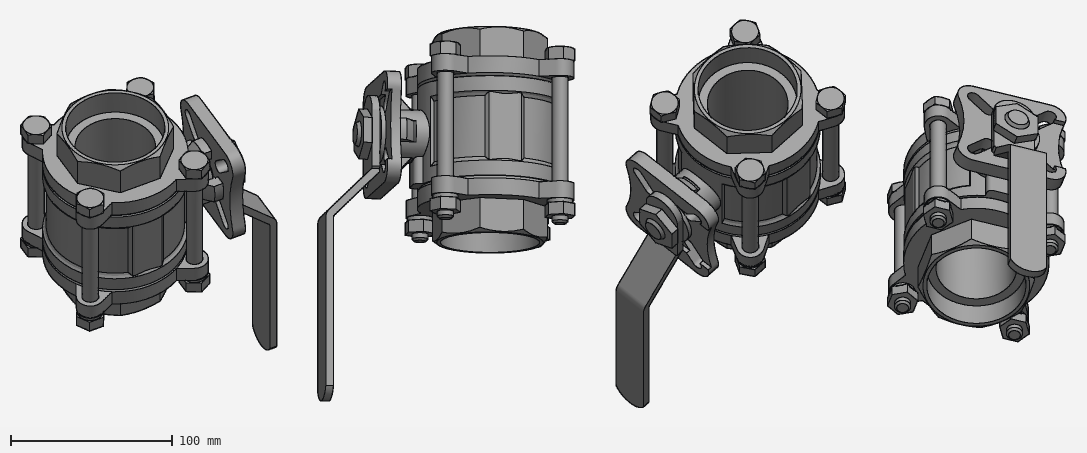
import cadquery as cq
import math


bore_diameter = 50.0
socket_diameter = 61.5
socket_depth = 16.7
valve_half_length = 65.0
flange_radius = 45.0
cap_flange_top = 44.0
cap_flange_bottom = 33.4
joint_height = 31.5
joint_radius = 43.7
rim_bottom = 22.0
rim_chamfer = 1.2
barrel_radius = 43.0
barrel_half_length = 19.3
octagon_across_flats = 67.2
octagon_top_radius = 33.1
octagon_chamfer = 2.3

pad_distance = 43.7
pad_half_width = 8.7
pad_shoulder_half_width = 10.3
pad_shoulder_distance = 43.2
pad_root_half_width = 13.5
pad_root_distance = 40.2

bolt_offset = 36.5
lug_radius = 8.7
lug_taper = 18
bolt_diameter = 10.0
bolt_hole_diameter = 10.5
bolt_hex_flats = 16.7
bolt_head_height = 8.0
bolt_head_chamfer = 0.7
washer_diameter = 16.0
washer_thickness = 2.5
bolt_nut_height = 7.8
bolt_tip_length = 4.5
bolt_tip_chamfer = 1.5

boss_diameter = 33.0
boss_top = 60.5
boss_root = 33.0
saddle_width = 34.3
arm_width = 13.5
arm_radius = 22.8
arm_knee = 57.8
arm_slant = 5.9
arm_foot_length = 1.5
arm_inner_chamfer = 1.6
plate_bottom = 64.0
plate_top = 72.8
plate_size = 70.5
plate_corner_radius = 10.0
plate_waist_half_width = 31.2
plate_waist_half_height = 22.0
plate_slot_width = 8.0
plate_slot_outer = 25.0
plate_slot_inner = 15.5
hub_diameter = 36.0
pocket_depth = 2.8
stop_block_half_width = 8.2
stop_block_top = 49.8
stop_block_end = -31.5
stop_block_fillet = 3.0

stem_diameter = 17.5
stem_bottom = 44.6
stem_thread_diameter = 16.0
stem_tip_chamfer = 1.5
stem_tip_length = 2.3
stem_nut_flats = 27.5
stem_nut_height = 5.6

handle_thickness = 5.0
handle_width = 23.5
handle_head_width = 26.3
handle_head_top = 24.5
handle_head_shoulder = 13.0
handle_head_end = -22.5
handle_bend = -24.0
handle_grip_y = 107.0
handle_bend_inner_radius = 2.0
handle_end = -169.9
handle_end_radius = 13.2


def disc(radius, z_bottom, height):
    """Cylinder along Z."""
    return cq.Workplane("XY").workplane(offset=z_bottom).circle(radius).extrude(height)


def stem_plane(y):
    """Sketch plane across the stem axis at distance y: local axes are X and Z, and
    a negative extrusion moves away from the flow axis."""
    return cq.Workplane("XZ", origin=(0, y, 0))


def stem_disc(diameter, y_from, y_to):
    """Cylinder along the stem axis."""
    return stem_plane(y_from).circle(diameter / 2).extrude(y_from - y_to)


def hexagon(across_flats, height, z_bottom, turn):
    corner_diameter = across_flats / math.cos(math.pi / 6)
    prism = cq.Workplane("XY").polygon(6, corner_diameter).extrude(height)
    return prism.rotate((0, 0, 0), (0, 0, 1), turn).translate((0, 0, z_bottom))


def barrel():
    """Centre piece with a chamfered rim at each end, turned about Z."""
    rim_foot = rim_bottom - rim_chamfer
    rim_foot_radius = flange_radius - rim_chamfer
    upper = [
        (barrel_radius, barrel_half_length),
        (rim_foot_radius, rim_foot),
        (flange_radius, rim_bottom),
        (flange_radius, joint_height),
    ]
    lower = [(radius, -z) for radius, z in reversed(upper)]
    outline = [(0, -joint_height)] + lower + upper + [(0, joint_height)]
    body = cq.Workplane("XZ").polyline(outline).close().revolve(360, (0, 0), (0, 1))
    for side in (-1, 1):
        section = [
            (side * pad_distance, -pad_half_width),
            (side * pad_distance, pad_half_width),
            (side * pad_shoulder_distance, pad_shoulder_half_width),
            (side * pad_root_distance, pad_root_half_width),
            (side * pad_root_distance, -pad_root_half_width),
            (side * pad_shoulder_distance, -pad_shoulder_half_width),
        ]
        pad = cq.Workplane("XY").polyline(section).close().extrude(rim_bottom, both=True)
        body = body.union(pad)
    return body


def lug():
    """Rounded lug on the +X axis whose straight sides widen toward the flange centre."""
    taper = math.radians(lug_taper)
    centre = bolt_offset * math.sqrt(2)
    tangent_x = centre + lug_radius * math.sin(taper)
    tangent_y = lug_radius * math.cos(taper)
    root_x = flange_radius / 2
    root_y = tangent_y + (tangent_x - root_x) * math.tan(taper)
    return (
        cq.Workplane("XY")
        .workplane(offset=cap_flange_bottom)
        .moveTo(root_x, -root_y)
        .lineTo(tangent_x, -tangent_y)
        .threePointArc((centre + lug_radius, 0), (tangent_x, tangent_y))
        .lineTo(root_x, root_y)
        .close()
        .extrude(cap_flange_top - cap_flange_bottom)
    )


def octagon_end():
    """Wrench octagon with its outer corners turned down to a cone."""
    corner_radius = octagon_across_flats / 2 / math.cos(math.pi / 8)
    prism = (
        cq.Workplane("XY")
        .workplane(offset=cap_flange_bottom)
        .polygon(8, 2 * corner_radius)
        .extrude(valve_half_length - cap_flange_bottom)
        .rotate((0, 0, 0), (0, 0, 1), 22.5)
    )
    envelope = disc(corner_radius, cap_flange_bottom, valve_half_length - cap_flange_bottom)
    envelope = envelope.faces(">Z").chamfer(octagon_chamfer, corner_radius - octagon_top_radius)
    return prism.intersect(envelope)


def upper_cap():
    cap = disc(flange_radius, cap_flange_bottom, cap_flange_top - cap_flange_bottom)
    for turn in (45, 135, 225, 315):
        cap = cap.union(lug().rotate((0, 0, 0), (0, 0, 1), turn))
    joint = cq.Solid.makeCone(joint_radius, flange_radius, cap_flange_bottom - joint_height)
    cap = cap.union(cq.Workplane(joint.translate(cq.Vector(0, 0, joint_height))))
    return cap.union(octagon_end())


def bolt(turn):
    """Bolt along Z at the origin, with head, washer and nut; turn is the hexagon angle."""
    head = hexagon(bolt_hex_flats, bolt_head_height, cap_flange_top, turn)
    head_corner_radius = bolt_hex_flats / 2 / math.cos(math.pi / 6)
    envelope = disc(head_corner_radius, cap_flange_top, bolt_head_height)
    head_top_inset = head_corner_radius - bolt_hex_flats / 2
    head = head.intersect(envelope.faces(">Z").chamfer(bolt_head_chamfer, head_top_inset))
    washer_bottom = -cap_flange_top - washer_thickness
    nut_bottom = washer_bottom - bolt_nut_height
    tip = nut_bottom - bolt_tip_length
    shank = disc(bolt_diameter / 2, tip, cap_flange_top - tip).faces("<Z").chamfer(bolt_tip_chamfer)
    washer = disc(washer_diameter / 2, washer_bottom, washer_thickness)
    nut = hexagon(bolt_hex_flats, bolt_nut_height, nut_bottom, turn)
    return head.union(shank).union(washer).union(nut)


def stem_arms():
    """Four arms in a cross that carry the mounting plate on the boss."""
    boss_radius = boss_diameter / 2
    profile = [
        (boss_radius - arm_inner_chamfer, boss_top),
        (boss_radius, boss_top + arm_inner_chamfer),
        (boss_radius, plate_bottom),
        (arm_radius, plate_bottom),
        (arm_radius, arm_knee),
        (arm_radius - arm_slant, arm_knee - arm_slant),
        (arm_radius - arm_slant, arm_knee - arm_slant - arm_foot_length),
        (boss_radius - arm_inner_chamfer, arm_knee - arm_slant - arm_foot_length),
    ]
    ring = cq.Workplane("XY").polyline(profile).close().revolve(360, (0, 0), (0, 1))
    cross = (
        stem_plane(boss_root)
        .rect(plate_size, arm_width)
        .extrude(boss_root - plate_top)
        .union(stem_plane(boss_root).rect(arm_width, plate_size).extrude(boss_root - plate_top))
    )
    return ring.intersect(cross)


def plate_blank():
    """Plate outline: straight top and bottom, corner lobes, hollow left and right sides."""
    half = plate_size / 2
    corner_centre = half - plate_corner_radius
    diagonal = corner_centre + plate_corner_radius / math.sqrt(2)
    neck_drop = corner_centre - plate_waist_half_height
    neck_x = corner_centre + math.sqrt(plate_corner_radius**2 - neck_drop**2)
    neck_z = plate_waist_half_height
    return (
        stem_plane(plate_bottom)
        .moveTo(-corner_centre, half)
        .lineTo(corner_centre, half)
        .threePointArc((diagonal, diagonal), (neck_x, neck_z))
        .threePointArc((plate_waist_half_width, 0), (neck_x, -neck_z))
        .threePointArc((diagonal, -diagonal), (corner_centre, -half))
        .lineTo(-corner_centre, -half)
        .threePointArc((-diagonal, -diagonal), (-neck_x, -neck_z))
        .threePointArc((-plate_waist_half_width, 0), (-neck_x, neck_z))
        .threePointArc((-diagonal, diagonal), (-corner_centre, half))
        .close()
        .extrude(plate_bottom - plate_top)
    )


def mounting_plate():
    """Plate with diagonal slots and a pocket beside the stem hub."""
    half = plate_size / 2

    slot_run = math.sqrt(2) * (plate_slot_outer - plate_slot_inner)
    slot_middle = (plate_slot_outer + plate_slot_inner) / math.sqrt(2)
    slots = (
        stem_plane(plate_bottom)
        .polarArray(slot_middle, 45, 360, 4)
        .slot2D(slot_run + plate_slot_width, plate_slot_width)
        .extrude(plate_bottom - plate_top)
    )

    pocket = (
        stem_plane(plate_top - pocket_depth)
        .center(-half / 2, 0)
        .rect(half, 2 * plate_waist_half_height)
        .extrude(-pocket_depth)
    )
    hub = stem_disc(hub_diameter, plate_bottom, plate_top)
    return plate_blank().cut(slots).cut(pocket.cut(hub))


def boss_saddle():
    """Strip under the boss where the rim radius runs on between the two rims."""
    strip = cq.Workplane("XY").box(
        saddle_width,
        flange_radius - boss_root,
        2 * rim_bottom,
        centered=(True, False, True),
    )
    envelope = disc(flange_radius, -rim_bottom, 2 * rim_bottom)
    return strip.translate((0, boss_root, 0)).intersect(envelope)


def stop_block():
    """Rounded block below the boss, against the saddle."""
    block = cq.Workplane("XY").box(
        2 * stop_block_half_width,
        stop_block_top - boss_root,
        -stop_block_end,
        centered=(True, False, False),
    )
    block = block.translate((0, boss_root, stop_block_end))
    return block.edges("|Z and >Y").fillet(stop_block_fillet)


def make_valve():
    cap = upper_cap()
    valve = barrel().union(cap).union(cap.mirror("XY"))
    valve = valve.union(stem_disc(boss_diameter, boss_root, boss_top))
    valve = valve.union(boss_saddle()).union(stop_block()).union(stem_arms()).union(mounting_plate())

    valve = valve.cut(disc(bore_diameter / 2, -valve_half_length, 2 * valve_half_length))
    for socket_bottom in (valve_half_length - socket_depth, -valve_half_length):
        valve = valve.cut(disc(socket_diameter / 2, socket_bottom, socket_depth))
    valve = valve.cut(stem_disc(stem_diameter, stem_bottom, plate_top))

    for side_x in (-1, 1):
        for side_y in (-1, 1):
            place = (side_x * bolt_offset, side_y * bolt_offset, 0)
            hole = disc(bolt_hole_diameter / 2, -cap_flange_top, 2 * cap_flange_top)
            turn = 0 if side_x == side_y else 90
            valve = valve.cut(hole.translate(place)).union(bolt(turn).translate(place))
    return valve


def make_stem():
    """Stem with its nut: thick in the boss, thinner through the handle."""
    handle_top = plate_top + handle_thickness
    nut_top = handle_top + stem_nut_height
    tip = nut_top + stem_tip_length
    stem = stem_disc(stem_diameter, stem_bottom, plate_top)
    thread = stem_disc(stem_thread_diameter, plate_top, tip)
    thread = thread.faces(">Y").chamfer(stem_tip_length, stem_tip_chamfer)
    nut = (
        stem_plane(handle_top)
        .transformed(rotate=(0, 0, 90))
        .polygon(6, stem_nut_flats / math.cos(math.pi / 6))
        .extrude(-stem_nut_height)
    )
    return stem.union(thread).union(nut)


def make_handle():
    """Bent strip, cut from its side profile and its face outline."""
    head_outer = plate_top + handle_thickness
    grip_inner = handle_grip_y - handle_thickness
    bend_shift = handle_thickness * math.tan(math.pi / 8)
    lower_bend = handle_bend - (handle_grip_y - head_outer)
    side_profile = [
        (plate_top, handle_head_top),
        (head_outer, handle_head_top),
        (head_outer, handle_bend),
        (handle_grip_y, lower_bend),
        (handle_grip_y, handle_end),
        (grip_inner, handle_end),
        (grip_inner, lower_bend - bend_shift),
        (plate_top, handle_bend - bend_shift),
    ]
    strip = cq.Workplane("YZ").polyline(side_profile).close().extrude(handle_head_width, both=True)
    inner_corner = (0, grip_inner, lower_bend - bend_shift)
    outer_corner = (0, handle_grip_y, lower_bend)
    outer_radius = handle_bend_inner_radius + handle_thickness
    strip = strip.edges(cq.NearestToPointSelector(inner_corner)).fillet(handle_bend_inner_radius)
    strip = strip.edges(cq.NearestToPointSelector(outer_corner)).fillet(outer_radius)

    head_half = handle_head_width / 2
    half = handle_width / 2
    shoulder = handle_head_end - (head_half - half)
    end_rise = handle_end_radius - math.sqrt(handle_end_radius**2 - half**2)
    outline = (
        stem_plane(plate_top)
        .moveTo(-head_half, handle_head_shoulder)
        .threePointArc((0, handle_head_top), (head_half, handle_head_shoulder))
        .lineTo(head_half, handle_head_end)
        .lineTo(half, shoulder)
        .lineTo(half, handle_end + end_rise)
        .threePointArc((0, handle_end), (-half, handle_end + end_rise))
        .lineTo(-half, shoulder)
        .lineTo(-head_half, handle_head_end)
        .close()
        .extrude(plate_top - handle_grip_y)
    )
    stem_hole = stem_disc(stem_thread_diameter, plate_top, head_outer)
    return strip.intersect(outline).cut(stem_hole)


valve = make_valve()
stem = make_stem()
handle = make_handle()
result = cq.Compound.makeCompound([valve.val(), stem.val(), handle.val()])